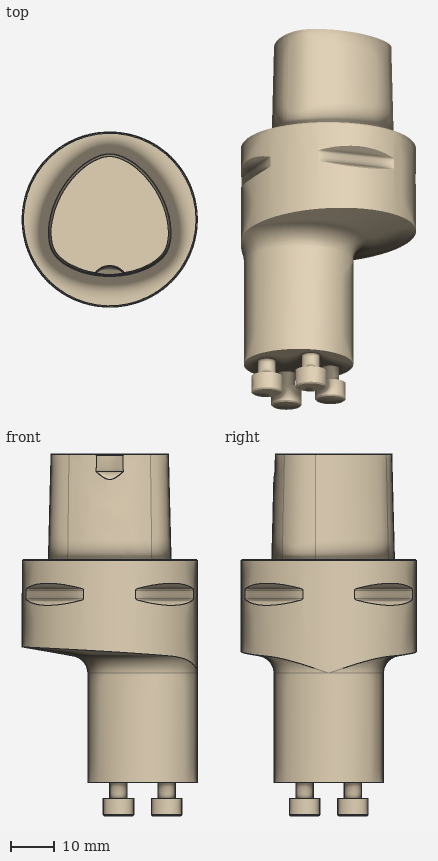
import cadquery as cq
import math


SHANK_LENGTH = 24.0
SHANK_MEAN_DIAMETER = 28.0
SHANK_ECCENTRICITY = 1.0
SHANK_TAPER = 1 / 20
LOBE_COUNT = 3
LOBE_DIRECTION = math.radians(90)

NOTCH_RADIUS = 3.9
NOTCH_AXIS_Y = -14.65
NOTCH_CHAMFER = 0.25
NOTCH_DEPTH = 4.0
NOTCH_CONE_ANGLE = 45.0

FLANGE_DIAMETER = 40.0
FLANGE_LENGTH = 20.0
FLANGE_CHAMFER = 0.3

GROOVE_COUNT = 4
GROOVE_FIRST_ANGLE = 45.0
GROOVE_Z = -8.0
GROOVE_FLOOR_DISTANCE = 17.7
GROOVE_FLOOR_WIDTH = 2.4
GROOVE_WALL_ANGLE = 30.0
GROOVE_FILLET = 0.5

BOSS_DIAMETER = 25.0
BOSS_END_Z = -51.0
BOSS_X = (FLANGE_DIAMETER - BOSS_DIAMETER) / 2
UNDERSIDE_SLOPE = math.radians(10)
BOSS_FILLET = 4.0

SCREW_SPACING = 11.0
SCREW_SHANK_DIAMETER = 4.0
SCREW_HEAD_DIAMETER = 7.0
SCREW_HEAD_LENGTH = 4.0
SCREW_HEAD_CHAMFER = 0.3
SCREW_END_Z = -58.61

FLANGE_RADIUS = FLANGE_DIAMETER / 2
BOSS_RADIUS = BOSS_DIAMETER / 2


def shank_point(mean_radius, angle):
    """Point of the constant-width outline whose outward normal is at the given angle."""
    lobe_angle = LOBE_COUNT * (angle - LOBE_DIRECTION)
    support = mean_radius + SHANK_ECCENTRICITY * math.cos(lobe_angle)
    slope = -LOBE_COUNT * SHANK_ECCENTRICITY * math.sin(lobe_angle)
    x = support * math.cos(angle) - slope * math.sin(angle)
    y = support * math.sin(angle) + slope * math.cos(angle)
    return x, y


def shank_outline(z):
    """Closed outline at height z: lobes and flanks are alternating spline edges."""
    mean_radius = (SHANK_MEAN_DIAMETER - SHANK_TAPER * z) / 2
    patch_count = 2 * LOBE_COUNT
    patch_angle = 2 * math.pi / patch_count
    steps = 8
    edges = []
    for patch in range(patch_count):
        start = LOBE_DIRECTION + (patch - 0.5) * patch_angle
        angles = [start + patch_angle * step / steps for step in range(steps + 1)]
        points = [cq.Vector(*shank_point(mean_radius, angle), z) for angle in angles]
        tangents = [cq.Vector(-math.sin(angle), math.cos(angle), 0) for angle in (angles[0], angles[-1])]
        edges.append(cq.Edge.makeSpline(points, tangents=tangents))
    return cq.Wire.assembleEdges(edges)


def make_shank():
    shank = cq.Solid.makeLoft([shank_outline(0), shank_outline(SHANK_LENGTH)], True)
    return cq.Workplane(obj=shank)


def make_notch():
    """Drill shape: a cylinder with a conical tip pointing down and a chamfered mouth."""
    floor_z = SHANK_LENGTH - NOTCH_DEPTH
    tip_z = floor_z - NOTCH_RADIUS * math.tan(math.radians(NOTCH_CONE_ANGLE))
    profile = (
        cq.Workplane("XZ")
        .moveTo(0, tip_z)
        .lineTo(NOTCH_RADIUS, floor_z)
        .lineTo(NOTCH_RADIUS, SHANK_LENGTH - NOTCH_CHAMFER)
        .lineTo(NOTCH_RADIUS + NOTCH_CHAMFER, SHANK_LENGTH)
        .lineTo(0, SHANK_LENGTH)
        .close()
    )
    return profile.revolve(360, (0, 0), (0, 1)).translate((0, NOTCH_AXIS_Y, 0))


def make_flange_and_boss():
    """Flange whose conical underside, centred on the boss, runs into the boss through a fillet."""
    outer_radius = BOSS_X + FLANGE_RADIUS
    arc_centre_r = BOSS_RADIUS + BOSS_FILLET
    cone_end_r = arc_centre_r - BOSS_FILLET * math.sin(UNDERSIDE_SLOPE)
    cone_end_z = -FLANGE_LENGTH - (outer_radius - cone_end_r) * math.tan(UNDERSIDE_SLOPE)
    fillet_end_z = cone_end_z - BOSS_FILLET * math.cos(UNDERSIDE_SLOPE)
    mid_angle = (math.pi / 2 - UNDERSIDE_SLOPE) / 2
    arc_mid = (
        arc_centre_r - BOSS_FILLET * math.cos(mid_angle),
        fillet_end_z + BOSS_FILLET * math.sin(mid_angle),
    )
    envelope = (
        cq.Workplane("XZ")
        .lineTo(outer_radius, 0)
        .lineTo(outer_radius, -FLANGE_LENGTH)
        .lineTo(cone_end_r, cone_end_z)
        .threePointArc(arc_mid, (BOSS_RADIUS, fillet_end_z))
        .lineTo(0, fillet_end_z)
        .close()
        .revolve(360, (0, 0), (0, 1))
        .translate((BOSS_X, 0, 0))
    )
    flange = (
        cq.Workplane("XY")
        .circle(FLANGE_RADIUS)
        .extrude(fillet_end_z)
        .faces(">Z")
        .edges()
        .chamfer(FLANGE_CHAMFER)
        .intersect(envelope)
    )
    boss = (
        cq.Workplane("XY", origin=(BOSS_X, 0, BOSS_END_Z))
        .circle(BOSS_RADIUS)
        .extrude(fillet_end_z - BOSS_END_Z)
    )
    return flange.union(boss)


def make_groove(angle):
    """Straight groove with flared walls, crossing the rim at the given angle about Z."""
    depth = FLANGE_RADIUS - GROOVE_FLOOR_DISTANCE
    floor_half = GROOVE_FLOOR_WIDTH / 2
    mouth_half = floor_half + depth * math.tan(math.radians(GROOVE_WALL_ANGLE))
    return (
        cq.Workplane("XZ")
        .moveTo(GROOVE_FLOOR_DISTANCE, GROOVE_Z - floor_half)
        .lineTo(FLANGE_RADIUS, GROOVE_Z - mouth_half)
        .lineTo(FLANGE_RADIUS, GROOVE_Z + mouth_half)
        .lineTo(GROOVE_FLOOR_DISTANCE, GROOVE_Z + floor_half)
        .close()
        .extrude(FLANGE_RADIUS, both=True)
        .faces("<X")
        .edges("|Y")
        .fillet(GROOVE_FILLET)
        .rotate((0, 0, 0), (0, 0, 1), angle)
    )


def make_screw(x, y):
    head = (
        cq.Workplane("XY", origin=(x, y, SCREW_END_Z))
        .circle(SCREW_HEAD_DIAMETER / 2)
        .extrude(SCREW_HEAD_LENGTH)
        .faces("<Z")
        .edges()
        .chamfer(SCREW_HEAD_CHAMFER)
    )
    shank = (
        cq.Workplane("XY", origin=(x, y, SCREW_END_Z))
        .circle(SCREW_SHANK_DIAMETER / 2)
        .extrude(BOSS_END_Z - SCREW_END_Z)
    )
    return head.union(shank)


result = make_flange_and_boss()

for index in range(GROOVE_COUNT):
    result = result.cut(make_groove(GROOVE_FIRST_ANGLE + index * 360 / GROOVE_COUNT))

result = result.union(make_shank().cut(make_notch()))

for side_x in (-1, 1):
    for side_y in (-1, 1):
        screw_x = BOSS_X + side_x * SCREW_SPACING / 2
        screw_y = side_y * SCREW_SPACING / 2
        result = result.union(make_screw(screw_x, screw_y))